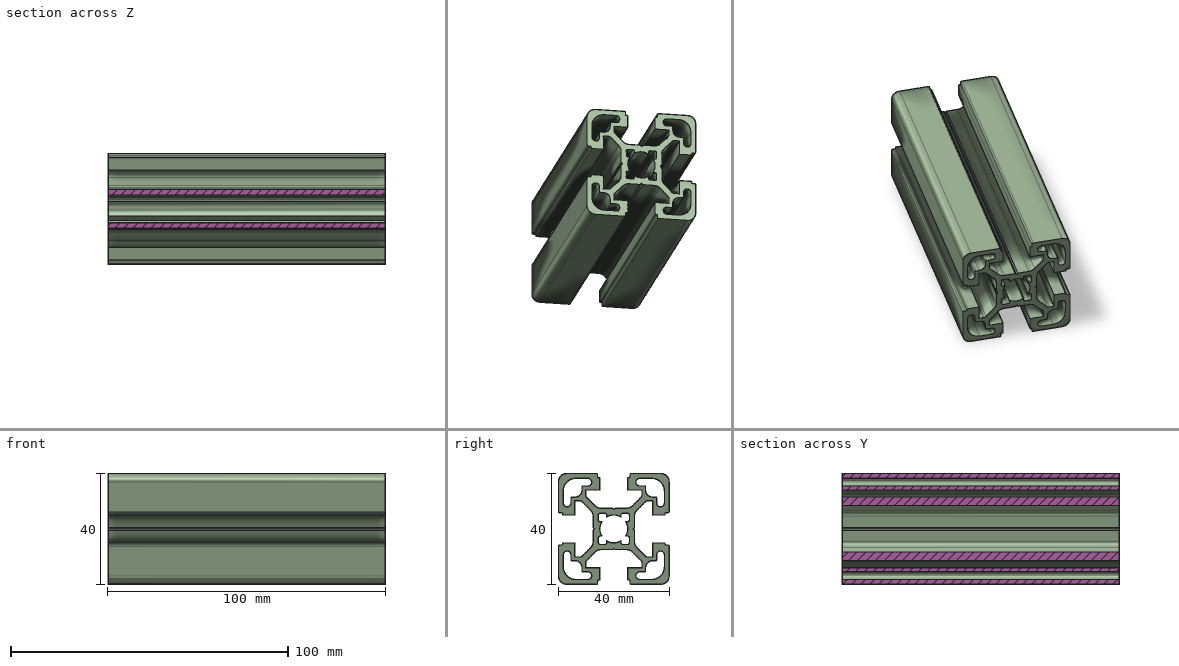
import cadquery as cq
import math

length = 100.0
half_width = 20.0
corner_radius = 3.0

mouth_half = 5.8
mouth_radius = 0.5
step_depth = 1.5
lip_half = 5.0
lip_depth = 6.0
lip_radius = 0.3
slot_half = 10.1

floor_height = 7.5
floor_radius = 3.0
web_thickness = 2.3
web_end_radius = 1.2

groove_half = 0.5
groove_depth = 0.5

shell_wall = 1.8
finger_tip = 8.0
finger_width = 2.7
shelf_start = 11.5
shelf_radius = 0.4
hollow_inner_radius = 2.5
hollow_outer_radius = 4.5

bore_radius = 5.0
pocket_outer = 5.6
pocket_inner = 2.6
pocket_radius = 0.7

section_plane = cq.Workplane("YZ", origin=(-length / 2, 0, 0))


def extrude_outline(points):
    return section_plane.polyline(points).close().extrude(length)


def round_edges(solid, points, radius):
    """Round the lengthwise edges that pass through the given section points."""
    for y, z in points:
        solid = solid.edges(cq.selectors.NearestToPointSelector((0, y, z))).fillet(radius)
    return solid


def mirror_y(points):
    return [(-y, z) for y, z in reversed(points)]


def mirror_diagonal(points):
    return [(z, y) for y, z in reversed(points)]


def make_slot():
    """T-slot on the +Z side, with a stepped mouth and a tapered base."""
    web_offset = web_thickness / math.sqrt(2)
    step_height = half_width - step_depth
    lip_height = half_width - lip_depth
    mouth_edge = (mouth_half, half_width)
    step_root = (mouth_half, step_height)
    step_edge = (lip_half, step_height)
    web_end = (slot_half, slot_half + web_offset)
    floor_corner = (floor_height - web_offset, floor_height)

    right_side = [
        mouth_edge,
        step_root,
        step_edge,
        (lip_half, lip_height),
        (slot_half, lip_height),
        web_end,
        floor_corner,
        (groove_half, floor_height),
    ]
    groove_bottom = (0, floor_height - groove_depth)
    slot = extrude_outline(right_side + [groove_bottom] + mirror_y(right_side))

    for corner, radius in [
        (step_root, lip_radius),
        (step_edge, lip_radius),
        (web_end, web_end_radius),
        (floor_corner, floor_radius),
    ]:
        slot = round_edges(slot, [corner] + mirror_y([corner]), radius)
    return slot


def make_corner_hollow():
    """Hollow in the +Y +Z corner, symmetric about the diagonal, with two round-ended fingers."""
    wall = half_width - shell_wall
    shelf = wall - finger_width
    finger_radius = finger_width / 2
    finger_center = (finger_tip + finger_radius, wall - finger_radius)
    shelf_corner = (shelf_start, shelf)
    inner_corner = (shelf_start, shelf_start)
    outer_corner = (wall, wall)

    upper_half = [
        (finger_center[0], wall),
        (finger_center[0], shelf),
        shelf_corner,
    ]
    outline = [outer_corner] + upper_half + [inner_corner] + mirror_diagonal(upper_half)
    hollow = extrude_outline(outline)
    hollow = round_edges(hollow, [outer_corner], hollow_outer_radius)
    hollow = round_edges(hollow, [inner_corner], hollow_inner_radius)
    hollow = round_edges(hollow, [shelf_corner] + mirror_diagonal([shelf_corner]), shelf_radius)
    for y, z in [finger_center] + mirror_diagonal([finger_center]):
        hollow = hollow.union(section_plane.center(y, z).circle(finger_radius).extrude(length))
    return hollow


def make_bore_pocket():
    """Square pocket in the +Y +Z corner of the bore."""
    size = pocket_outer - pocket_inner
    center = (pocket_outer + pocket_inner) / 2
    pocket = section_plane.center(center, center).rect(size, size).extrude(length)
    return pocket.edges("|X").fillet(pocket_radius)


bar = section_plane.rect(2 * half_width, 2 * half_width).extrude(length)
bar = bar.edges("|X").fillet(corner_radius)
bar = bar.cut(section_plane.circle(bore_radius).extrude(length))

for cutter in (make_slot(), make_corner_hollow(), make_bore_pocket()):
    for turn in range(4):
        bar = bar.cut(cutter.rotate((0, 0, 0), (1, 0, 0), 90 * turn))

for sign in (1, -1):
    mouth_edges = [(mouth_half, sign * half_width), (-mouth_half, sign * half_width)]
    bar = round_edges(bar, mouth_edges + [(z, y) for y, z in mouth_edges], mouth_radius)

result = bar